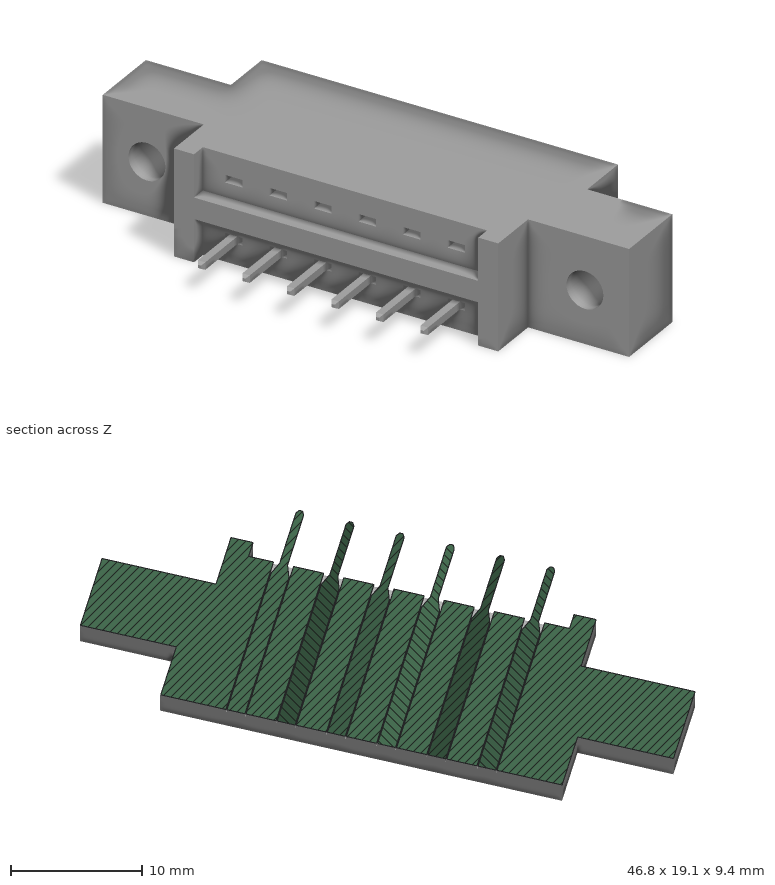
import cadquery as cq

HEIGHT = 9.4
FLANGE_WIDTH = 46.8
FLANGE_DEPTH = 6.35
FRONT_WIDTH = 28.8
FRONT_DEPTH = 4.4
BACK_WIDTH = 31.7
BACK_DEPTH = 4.55
HOUSING_DEPTH = FRONT_DEPTH + FLANGE_DEPTH + BACK_DEPTH

MOUNT_HOLE_DIAMETER = 3.28
MOUNT_HOLE_SPACING = 38.95

RECESS_WIDTH = 25.25
RECESS_DEPTH = 1.3
RIB_THICKNESS = 1.85

CONTACT_COUNT = 6
CONTACT_PITCH = 3.96
ROW_OFFSET = 2.55
SLOT_WIDTH = 1.55
SLOT_HEIGHT = 0.65

BLADE_CLEARANCE = 0.05
BLADE_WIDTH = SLOT_WIDTH - 2 * BLADE_CLEARANCE
TAIL_WIDTH = 0.65
TAIL_LENGTH = 3.75
SHOULDER_LENGTH = 1.08
TIP_LENGTH = 0.35
TIP_WIDTH = 0.3

contact_positions = [(i - (CONTACT_COUNT - 1) / 2) * CONTACT_PITCH for i in range(CONTACT_COUNT)]


def block(width, y_start, y_end, z_start, z_end):
    """Box centred on X = 0 between the given Y and Z limits."""
    return cq.Workplane("XY").box(
        width, y_end - y_start, z_end - z_start, centered=(True, False, False)
    ).translate((0, y_start, z_start))


def make_housing():
    top = HEIGHT / 2
    flange_start = FRONT_DEPTH
    flange_end = FRONT_DEPTH + FLANGE_DEPTH
    body = (
        block(FRONT_WIDTH, 0, flange_start, -top, top)
        .union(block(FLANGE_WIDTH, flange_start, flange_end, -top, top))
        .union(block(BACK_WIDTH, flange_end, HOUSING_DEPTH, -top, top))
    )

    rib_top = RIB_THICKNESS / 2
    body = body.cut(block(RECESS_WIDTH, 0, RECESS_DEPTH, rib_top, top))
    body = body.cut(block(RECESS_WIDTH, 0, RECESS_DEPTH, -top, -rib_top))

    mount_holes = (
        cq.Workplane("XZ")
        .pushPoints([(-MOUNT_HOLE_SPACING / 2, 0), (MOUNT_HOLE_SPACING / 2, 0)])
        .circle(MOUNT_HOLE_DIAMETER / 2)
        .extrude(-HOUSING_DEPTH)
    )
    slots = (
        cq.Workplane("XZ")
        .pushPoints([(x, z) for x in contact_positions for z in (-ROW_OFFSET, ROW_OFFSET)])
        .rect(SLOT_WIDTH, SLOT_HEIGHT)
        .extrude(-HOUSING_DEPTH)
    )
    return body.cut(mount_holes).cut(slots)


def make_pin(x):
    """Pin as thick as its slot is high, running from the tip to the back of the housing."""
    tip_start = TIP_LENGTH - TAIL_LENGTH
    half_tail = TAIL_WIDTH / 2
    half_blade = BLADE_WIDTH / 2
    shoulder_end = RECESS_DEPTH + SHOULDER_LENGTH
    shank = (
        cq.Workplane("XY")
        .polyline([
            (-half_tail, tip_start),
            (half_tail, tip_start),
            (half_tail, RECESS_DEPTH),
            (half_blade, shoulder_end),
            (half_blade, HOUSING_DEPTH),
            (-half_blade, HOUSING_DEPTH),
            (-half_blade, shoulder_end),
            (-half_tail, RECESS_DEPTH),
        ])
        .close()
        .extrude(SLOT_HEIGHT / 2, both=True)
    )
    tip = (
        cq.Workplane("XZ", origin=(0, tip_start, 0))
        .rect(TAIL_WIDTH, SLOT_HEIGHT)
        .workplane(offset=TIP_LENGTH)
        .rect(TIP_WIDTH, TIP_WIDTH)
        .loft(ruled=True)
    )
    return shank.union(tip).translate((x, 0, -ROW_OFFSET))


housing = make_housing()
pins = [make_pin(x) for x in contact_positions]

result = cq.Compound.makeCompound([housing.val(), *[pin.val() for pin in pins]])